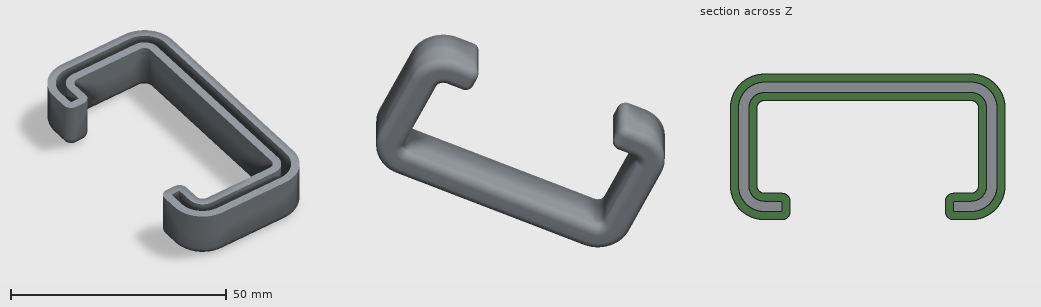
import cadquery as cq

length = 64.0
depth = 34.0
height = 12.0

wall = 2.0
groove_width = 2.3
floor = wall
band = 2 * wall + groove_width

corner_radius = 8.0
hook_length = 14.0
tip_radius = 2.0
bottom_radius = 2.0


def rounded_block(inset, base, block_height):
    """Rounded rectangle concentric with the outer outline, moved inward by inset."""
    return (
        cq.Workplane("XY", origin=(0, 0, base))
        .rect(length - 2 * inset, depth - 2 * inset)
        .extrude(block_height)
        .edges("|Z")
        .fillet(corner_radius - inset)
    )


def c_band(outer_inset, inner_inset, tip_inset, base):
    """C-shaped band between two insets, from base up to the top face."""
    band_height = height - base
    ring = rounded_block(outer_inset, base, band_height).cut(
        rounded_block(inner_inset, base, band_height)
    )
    opening_width = length - 2 * (hook_length - tip_inset)
    opening = (
        cq.Workplane("XY", origin=(0, -depth / 2, base))
        .rect(opening_width, depth)
        .extrude(band_height)
    )
    return ring.cut(opening)


def hook_tip_edges(body):
    """Vertical edges of the two flat hook ends."""
    tip_x = length / 2 - hook_length
    margin = 0.05
    selector = cq.selectors.BoxSelector(
        (-tip_x - margin, -depth, -height),
        (tip_x + margin, -depth / 2 + band + margin, 2 * height),
    )
    return body.edges("|Z").edges(selector)


body = c_band(0, band, 0, 0)
body = hook_tip_edges(body).fillet(tip_radius)
body = body.faces("<Z").edges().fillet(bottom_radius)

groove = c_band(wall, wall + groove_width, wall, floor)
result = body.cut(groove)